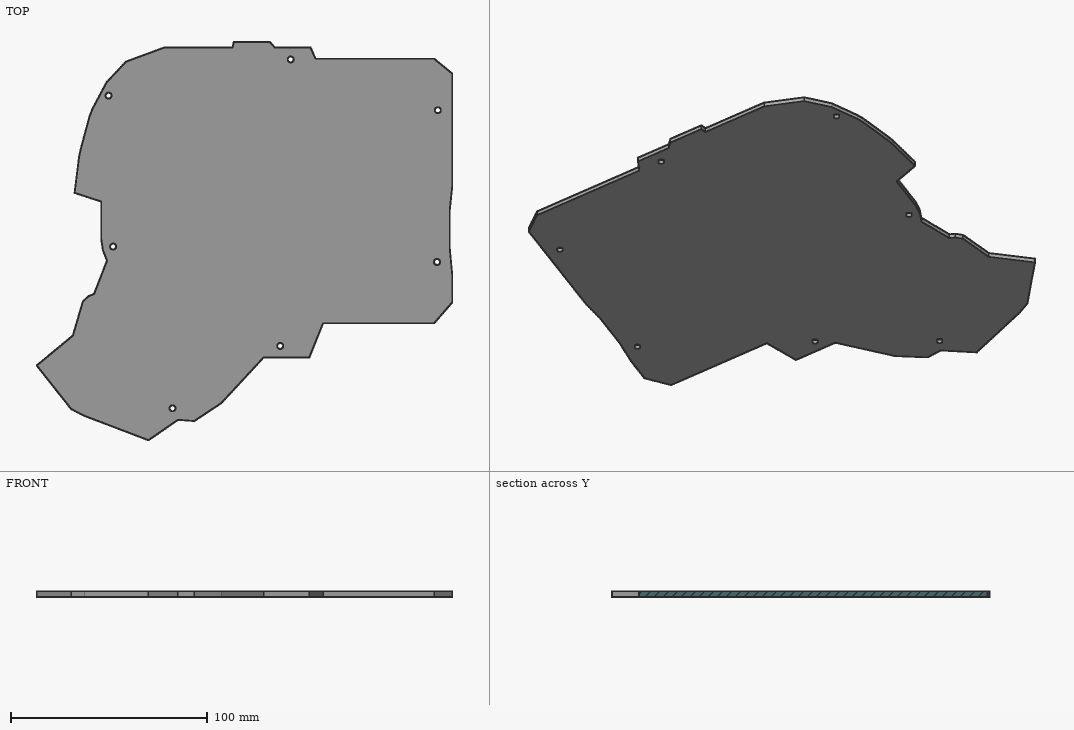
import cadquery as cq

length = 212.0
width = 203.1
thickness = 3.0
hole_diameter = 3.0

block_bottom = 59.5
block_top = 194.7
chamfer_length = 9.3
bottom_chamfer_height = 10.8
top_chamfer_height = 7.6
recess_depth = 1.3
chamfer_start = length - chamfer_length
recess_x = length - recess_depth

lower_step = 42.2
upper_step = 200.4
left_wall = 32.9

lower_edge = [
    (0, 38.2),
    (17.5, 16.0),
    (24.2, 12.5),
    (57.0, 0),
    (72.0, 10.4),
    (80.4, 9.8),
    (94.2, 18.9),
    (115.8, lower_step),
    (139.0, lower_step),
    (146.0, block_bottom),
]

right_edge = [
    (chamfer_start, block_bottom),
    (length, block_bottom + bottom_chamfer_height),
    (length, 84.2),
    (recess_x, 97.8),
    (recess_x, 117.5),
    (length, 129.8),
    (length, block_top - top_chamfer_height),
    (chamfer_start, block_top),
]

upper_edge = [
    (142.3, block_top),
    (139.7, upper_step),
    (121.5, upper_step),
    (119.0, width),
    (100.5, width),
    (99.9, upper_step),
    (65.0, upper_step),
]

left_edge = [
    (45.5, 193.2),
    (35.6, 182.5),
    (28.5, 169.0),
    (27.0, 165.2),
    (22.5, 148.6),
    (21.6, 144.8),
    (19.3, 126.2),
    (left_wall, 121.7),
    (left_wall, 102.8),
    (33.7, 97.1),
    (35.8, 91.5),
    (29.3, 74.6),
    (26.5, 73.5),
    (23.5, 70.8),
    (18.5, 53.5),
]

hole_centers = [
    (36.7, 175.8),
    (39.0, 98.8),
    (129.5, 194.2),
    (204.6, 168.4),
    (204.2, 91.0),
    (124.3, 48.1),
    (69.3, 16.3),
]

outline = lower_edge + right_edge + upper_edge + left_edge
plate = cq.Workplane("XY").polyline(outline).close().extrude(thickness)
holes = cq.Workplane("XY").pushPoints(hole_centers).circle(hole_diameter / 2).extrude(thickness)

result = plate.cut(holes)